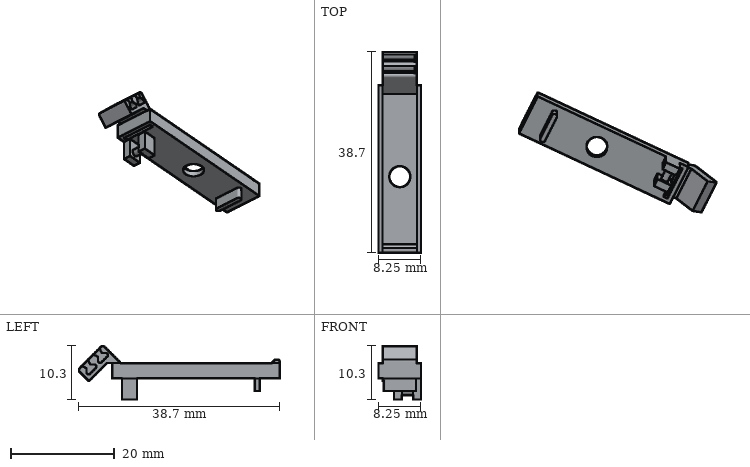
import cadquery as cq
import math


tray_width = 8.25
tray_length = 32.25
tray_height = 2.95
side_wall = 0.8
end_wall = 1.7
floor_thickness = 1.28
inner_width = tray_width - 2 * side_wall
inner_front = end_wall
inner_back = tray_length - end_wall

hole_diameter = 4.0
hole_y = 14.65

slot_width = 0.8
ledge_thickness = 0.58

lip_height = 0.7
lip_top_depth = 0.93
lip_round = 0.43

part_length = 38.67
part_top = 6.23
corner_round = 0.5
bar_thickness = 3.0
diagonal = math.sqrt(2)
corner_loss = corner_round * (diagonal - 1)
apex_z = part_top + corner_loss
apex_y = inner_back + apex_z - tray_height
bar_length = diagonal * (part_length + corner_loss - apex_y)
bar_drop = bar_length / diagonal
bar_step = bar_thickness / diagonal

groove_count = 2
first_groove = 1.75
groove_pitch = 3.15
groove_end_wall = 0.45
mouth_half_width = 0.95
curve_half_width = 0.65
curve_depth = 0.45
neck_half_width = 0.55
neck_depth = 0.93
shoulder_half_width = 1.12
shoulder_depth = 1.6
bulge_half_width = 1.12
bulge_depth = 1.97
base_half_width = 0.8
groove_depth = 2.15

block_width = 1.55
block_length = 2.95
block_drop = 4.05
block_y = 28.93
outer_block_x = (tray_width - block_width) / 2
inner_block_x = -0.4
pin_diameter = 1.45
pin_bottom = -3.25
pin_z = pin_bottom + pin_diameter / 2

tab_width = 6.2
tab_thickness = 1.0
tab_drop = 2.45
tab_y = 4.35


def box(width, y_start, y_end, z_start, z_end, x_center=0):
    """Box centred on x_center, between the given Y and Z limits."""
    block = cq.Workplane("XY").box(
        width, y_end - y_start, z_end - z_start, centered=(True, False, False)
    )
    return block.translate((x_center, y_start, z_start))


def across_tray():
    """YZ workplane at the -X side of the tray interior."""
    return cq.Workplane("YZ", origin=(-inner_width / 2, 0, 0))


def make_tray():
    tray = box(tray_width, 0, tray_length, 0, tray_height)
    cavity = box(inner_width, inner_front, inner_back, floor_thickness, tray_height)
    slot = box(inner_width, inner_back, inner_back + slot_width, 0, tray_height - ledge_thickness)
    hole = cq.Workplane("XY").center(0, hole_y).circle(hole_diameter / 2).extrude(tray_height)
    return tray.cut(cavity).cut(slot).cut(hole)


def make_lip():
    top = tray_height + lip_height
    outline = (
        across_tray()
        .moveTo(0, tray_height)
        .lineTo(0, top - lip_round)
        .radiusArc((lip_round, top), lip_round)
        .lineTo(lip_top_depth, top)
        .lineTo(lip_top_depth + lip_height, tray_height)
        .close()
    )
    return outline.extrude(inner_width)


def make_lever_body():
    end_y = apex_y + bar_drop
    end_z = apex_z - bar_drop
    tip_y = end_y - bar_step
    tip_z = end_z - bar_step
    root_y = tip_y - (tray_height - tip_z)
    tangent = corner_round / diagonal
    outline = (
        across_tray()
        .moveTo(inner_back, tray_height)
        .lineTo(apex_y - tangent, apex_z - tangent)
        .threePointArc((apex_y, part_top), (apex_y + tangent, apex_z - tangent))
        .lineTo(end_y - tangent, end_z + tangent)
        .threePointArc((part_length, end_z), (end_y - tangent, end_z - tangent))
        .lineTo(tip_y, tip_z)
        .lineTo(root_y, tray_height)
        .close()
    )
    return outline.extrude(inner_width)


def make_groove(distance):
    """Waisted groove, its centre at a distance from the apex along the lever."""
    outer_face = cq.Plane(
        origin=(-inner_width / 2, apex_y, apex_z), xDir=(0, 1, -1), normal=(1, 0, 0)
    )
    profile = (
        cq.Workplane(outer_face)
        .center(distance, 0)
        .moveTo(-mouth_half_width, 0)
        .threePointArc((-curve_half_width, -curve_depth), (-neck_half_width, -neck_depth))
        .lineTo(-shoulder_half_width, -shoulder_depth)
        .threePointArc((-bulge_half_width, -bulge_depth), (-base_half_width, -groove_depth))
        .lineTo(base_half_width, -groove_depth)
        .threePointArc((bulge_half_width, -bulge_depth), (shoulder_half_width, -shoulder_depth))
        .lineTo(neck_half_width, -neck_depth)
        .threePointArc((curve_half_width, -curve_depth), (mouth_half_width, 0))
        .close()
    )
    return profile.extrude(inner_width - groove_end_wall)


def make_lever():
    lever = make_lever_body()
    for index in range(groove_count):
        lever = lever.cut(make_groove(first_groove + index * groove_pitch))
    return lever


def make_hinge():
    block_start = block_y - block_length / 2
    block_end = block_y + block_length / 2
    pin_length = outer_block_x - inner_block_x
    hinge = (
        cq.Workplane("YZ", origin=(inner_block_x, block_y, pin_z))
        .circle(pin_diameter / 2)
        .extrude(pin_length)
    )
    for block_x in (inner_block_x, outer_block_x):
        hinge = hinge.union(box(block_width, block_start, block_end, -block_drop, 0, block_x))
    return hinge


def make_tab():
    return (
        cq.Workplane("XY")
        .center(0, tab_y)
        .slot2D(tab_width, tab_thickness)
        .extrude(-tab_drop)
    )


result = make_tray().union(make_lip()).union(make_lever()).union(make_hinge()).union(make_tab())